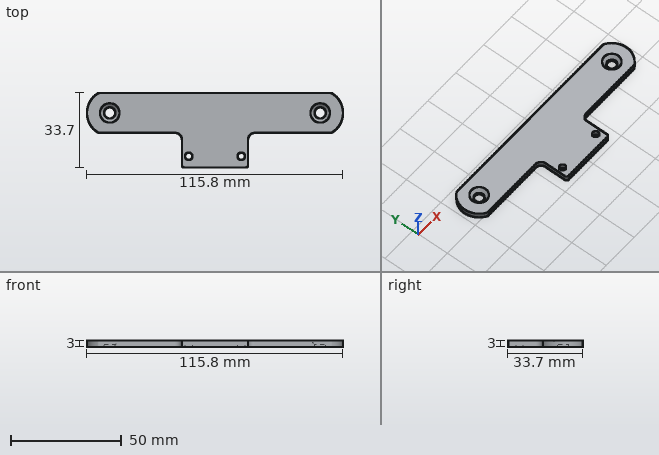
import cadquery as cq

length = 115.8
bar_width = 18.1
thickness = 3.0
screw_spacing = 95.0
end_radius = (length - screw_spacing) / 2
end_corner_radius = 1.0

total_depth = 33.7
tab_width = 30.0
inner_corner_radius = 3.0
tab_corner_radius = 1.0

screw_hole_diameter = 5.0
countersink_diameter = 8.8
countersink_angle = 90.0

tab_hole_diameter = 3.2
tab_hole_spacing = 23.7
tab_hole_edge_distance = 5.1

bar_edge_y = -bar_width / 2
tab_end_y = bar_width / 2 - total_depth
tab_hole_y = tab_end_y + tab_hole_edge_distance


def make_bar():
    """Rounded bar trimmed to the bar width, with softened end corners."""
    rounded = cq.Workplane("XY").slot2D(length, 2 * end_radius).extrude(thickness)
    trim = cq.Workplane("XY").rect(length, bar_width).extrude(thickness)
    return rounded.intersect(trim).edges("|Z").fillet(end_corner_radius)


def make_tab():
    """Tab running from the bar centreline, with rounded outer corners."""
    tab = (
        cq.Workplane("XY")
        .center(0, tab_end_y / 2)
        .rect(tab_width, -tab_end_y)
        .extrude(thickness)
    )
    return tab.edges("|Z and <Y").fillet(tab_corner_radius)


def round_inner_corners(plate):
    """Fillet the two corners where the tab meets the bar."""
    for side in (-1, 1):
        corner = (side * tab_width / 2, bar_edge_y, thickness / 2)
        nearest = cq.selectors.NearestToPointSelector(corner)
        plate = plate.edges("|Z").edges(nearest).fillet(inner_corner_radius)
    return plate


def hole_plane(plate):
    """Work plane on the top face, centred on the bar."""
    return plate.faces(">Z").workplane(origin=(0, 0, thickness))


plate = round_inner_corners(make_bar().union(make_tab()))

plate = (
    hole_plane(plate)
    .pushPoints([(side * screw_spacing / 2, 0) for side in (-1, 1)])
    .cskHole(screw_hole_diameter, countersink_diameter, countersink_angle)
)

result = (
    hole_plane(plate)
    .pushPoints([(side * tab_hole_spacing / 2, tab_hole_y) for side in (-1, 1)])
    .hole(tab_hole_diameter)
)